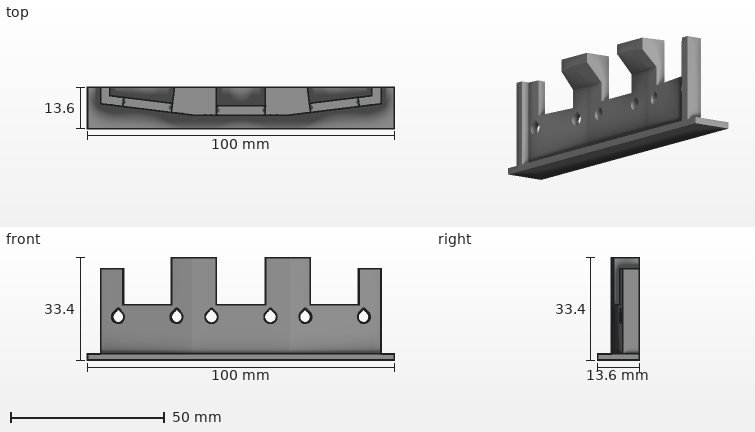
import cadquery as cq
import math

base_length = 100
base_depth = 13.6
base_thickness = 2.1
back_y = 9.1

total_height = 33.4
wall_thickness = 3
middle_length = 31.8
wing_length = 30
wing_angle = 7
wing_opening_center = 14.8
end_height = 29.8

notch_width = 16
notch_floor = 18.1
hole_spacing = 19.2
hole_height = 14.1
hole_radius = 2
overhang_start = 24.2

middle_end = middle_length / 2
wing_sweep = math.radians(wing_angle)
wall_end = middle_end + wing_length * math.cos(wing_sweep)
cut_margin = 5


def box(x_min, x_max, y_min, y_max, z_min, z_max):
    size = (x_max - x_min, y_max - y_min, z_max - z_min)
    return cq.Workplane("XY").box(*size, centered=False).translate((x_min, y_min, z_min))


def panel_body(length, start, head_end):
    """Panel along X from start, with a 45 degree overhang on its back up to head_end."""
    wall = box(start, start + length, 0, wall_thickness, 0, total_height)
    overhang_rise = back_y - wall_thickness
    head = (
        cq.Workplane("YZ", origin=(start, 0, 0))
        .moveTo(0, overhang_start)
        .lineTo(wall_thickness, overhang_start)
        .lineTo(back_y, overhang_start + overhang_rise)
        .lineTo(back_y, total_height)
        .lineTo(0, total_height)
        .close()
        .extrude(head_end - start)
    )
    return wall.union(head)


def teardrop(x):
    """Hole through a panel, with a 45 degree pointed roof."""
    tangent = hole_radius * math.sqrt(0.5)
    tip = hole_radius * math.sqrt(2)
    return (
        cq.Workplane("XZ", origin=(x, -cut_margin, hole_height))
        .moveTo(-tangent, tangent)
        .threePointArc((0, -hole_radius), (tangent, tangent))
        .lineTo(0, tip)
        .close()
        .extrude(-(back_y + 2 * cut_margin))
    )


def cut_openings(panel, center):
    half_notch = notch_width / 2
    notch = box(
        center - half_notch,
        center + half_notch,
        -cut_margin,
        back_y + cut_margin,
        notch_floor,
        total_height + cut_margin,
    )
    panel = panel.cut(notch)
    for side in (-1, 1):
        panel = panel.cut(teardrop(center + side * hole_spacing / 2))
    return panel


def middle_panel():
    panel = panel_body(middle_length, -middle_end, middle_end)
    return cut_openings(panel, 0)


def right_wing():
    """Swept panel whose outer post is lower and closed by a return wall to the back."""
    center = wing_opening_center
    wing = cut_openings(panel_body(wing_length, 0, center), center)
    post_top = box(center, wing_length + cut_margin, -cut_margin, back_y, end_height, total_height)
    wing = wing.cut(post_top)
    wing = wing.rotate((0, 0, 0), (0, 0, 1), wing_angle).translate((middle_end, 0, 0))

    end_front = wing_length * math.sin(wing_sweep)
    inner_front = end_front - wall_thickness * math.tan(wing_sweep)
    return_wall = (
        cq.Workplane("XY")
        .moveTo(wall_end - wall_thickness, inner_front)
        .lineTo(wall_end, end_front)
        .lineTo(wall_end, back_y)
        .lineTo(wall_end - wall_thickness, back_y)
        .close()
        .extrude(end_height)
    )
    return wing.union(return_wall)


base = box(-base_length / 2, base_length / 2, back_y - base_depth, back_y, 0, base_thickness)
wing = right_wing()
wall = middle_panel().union(wing).union(wing.mirror("YZ"))

envelope = box(-wall_end, wall_end, 0, back_y, 0, total_height)
result = base.union(wall.intersect(envelope))